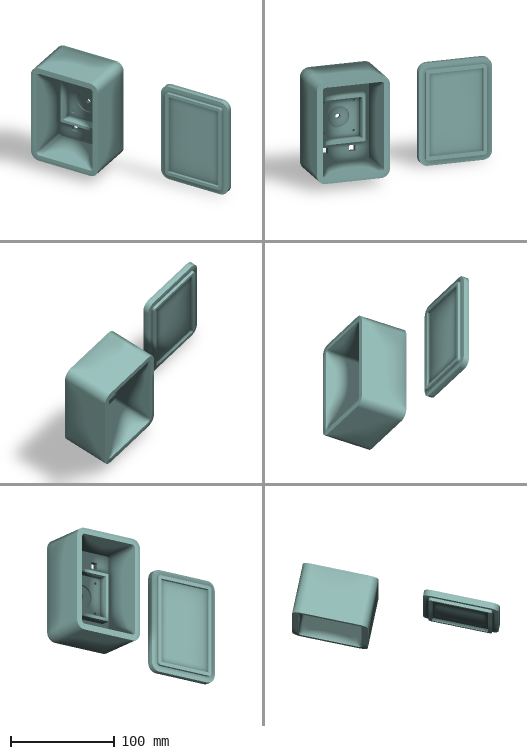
import cadquery as cq

width = 75.0
height = 104.0
corner_radius = 9.0
wall = 6.0
depth = 50.0
opening_width = width - 2 * wall
opening_height = height - 2 * wall
opening_radius = corner_radius - wall

mount_outer = 48.4
mount_inner = 42.3
mount_depth = 10.0
floor_thickness = 6.0
shaft_hole_diameter = 5.0
pilot_diameter = 22.0
pilot_depth = 2.0
screw_hole_diameter = 3.0
screw_spacing = 31.0

window_size = 6.6
window_spacing_x = 28.3
window_spacing_z = 67.0

lid_thickness = 6.0
lip_height = 3.0
lip_wall = 3.5
lid_pocket_depth = lip_height
overall_length = 195.2
lid_drop = 7.6
lid_shift_x = overall_length - width


def front_plane(y):
    """Sketch plane at depth y, facing the open front (-Y); local x and y are X and Z."""
    return cq.Workplane("XZ", origin=(0, y, 0))


def block(back_y, size_x, size_z, thickness):
    """Centred block that reaches forward (-Y) from back_y."""
    return front_plane(back_y).rect(size_x, size_z).extrude(thickness)


def rounded_block(back_y, size_x, size_z, thickness, radius):
    return block(back_y, size_x, size_z, thickness).edges("|Y").fillet(radius)


def make_box():
    """Open box with a motor mount on the inside of its back; the back lies at y = 0."""
    cavity_depth = depth - floor_thickness
    box = rounded_block(0, width, height, depth, corner_radius)
    box = box.cut(
        rounded_block(-floor_thickness, opening_width, opening_height, cavity_depth, opening_radius)
    )

    frame = block(-floor_thickness, mount_outer, mount_outer, mount_depth)
    frame = frame.cut(block(-floor_thickness, mount_inner, mount_inner, mount_depth))
    box = box.union(frame)

    pilot_floor = floor_thickness - pilot_depth
    box = box.cut(front_plane(-pilot_floor).circle(pilot_diameter / 2).extrude(pilot_depth))
    box = box.cut(front_plane(0).circle(shaft_hole_diameter / 2).extrude(floor_thickness))

    screw_holes = (
        front_plane(0)
        .rarray(screw_spacing, screw_spacing, 2, 2)
        .circle(screw_hole_diameter / 2)
        .extrude(floor_thickness)
    )
    box = box.cut(screw_holes)

    windows = (
        front_plane(0)
        .rarray(window_spacing_x, window_spacing_z, 2, 2)
        .rect(window_size, window_size)
        .extrude(floor_thickness)
    )
    return box.cut(windows)


def make_lid():
    """Rounded plate with a lip that fits the box opening and a pocket inside the lip."""
    lid = rounded_block(0, width, height, lid_thickness, corner_radius)
    lip = rounded_block(-lid_thickness, opening_width, opening_height, lip_height, opening_radius)
    lid = lid.union(lip)

    pocket_floor = lid_thickness + lip_height - lid_pocket_depth
    pocket_width = opening_width - 2 * lip_wall
    pocket_height = opening_height - 2 * lip_wall
    return lid.cut(block(-pocket_floor, pocket_width, pocket_height, lid_pocket_depth))


box = make_box()
lid = make_lid().translate((lid_shift_x, 0, -lid_drop))

result = cq.Compound.makeCompound([box.val(), lid.val()])